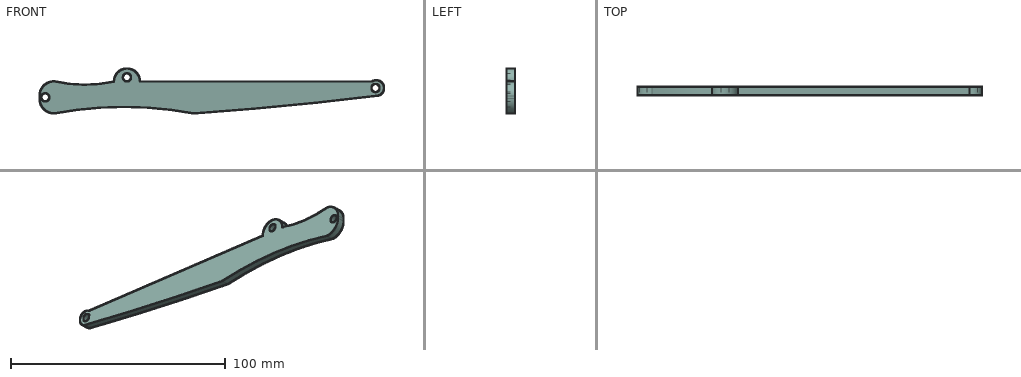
import cadquery as cq
import math

length = 160.7
thickness = 4.0
top_edge_z = 15.0

handle_height = 15.1
handle_corner_radius = 6.9
handle_mid_z = handle_height / 2
handle_hole_x = 2.7

upper_hollow_x = 20.1
upper_hollow_z = 13.5
lower_hollow_z = 3.0
heel_x = 72.0

lug_x = 40.8
lug_radius = 6.1
lug_hole_z = 16.9

tip_radius = 3.7
tip_x = length - tip_radius
tip_z = 11.9
tip_hole_x = 156.7
tip_bottom_z = tip_z - tip_radius
lower_edge_bow = 0.56

hole_diameter = 3.7


def corner_midpoint(vertical_side, center_z):
    """Middle of a handle corner arc; vertical_side is 1 for upper, -1 for lower."""
    diagonal = handle_corner_radius * math.sqrt(0.5)
    return handle_corner_radius - diagonal, center_z + vertical_side * diagonal


def make_plate():
    upper_corner_z = handle_height - handle_corner_radius
    lower_corner_z = handle_corner_radius
    lower_hollow_x = (handle_corner_radius + heel_x) / 2
    lower_edge_mid = ((heel_x + tip_x) / 2, tip_bottom_z / 2 - lower_edge_bow)
    tip_start_x = tip_x - math.sqrt(tip_radius**2 - (top_edge_z - tip_z) ** 2)

    outline = (
        cq.Workplane("XZ")
        .moveTo(0, lower_corner_z)
        .lineTo(0, upper_corner_z)
        .threePointArc(corner_midpoint(1, upper_corner_z), (handle_corner_radius, handle_height))
        .threePointArc((upper_hollow_x, upper_hollow_z), (lug_x - lug_radius, top_edge_z))
        .threePointArc((lug_x, top_edge_z + lug_radius), (lug_x + lug_radius, top_edge_z))
        .lineTo(tip_start_x, top_edge_z)
        .threePointArc((length, tip_z), (tip_x, tip_bottom_z))
        .threePointArc(lower_edge_mid, (heel_x, 0))
        .threePointArc((lower_hollow_x, lower_hollow_z), (handle_corner_radius, 0))
        .threePointArc(corner_midpoint(-1, lower_corner_z), (0, lower_corner_z))
        .close()
    )
    return outline.extrude(thickness)


def make_holes():
    centers = [
        (handle_hole_x, handle_mid_z),
        (lug_x, lug_hole_z),
        (tip_hole_x, tip_z),
    ]
    return cq.Workplane("XZ").pushPoints(centers).circle(hole_diameter / 2).extrude(thickness)


result = make_plate().cut(make_holes())